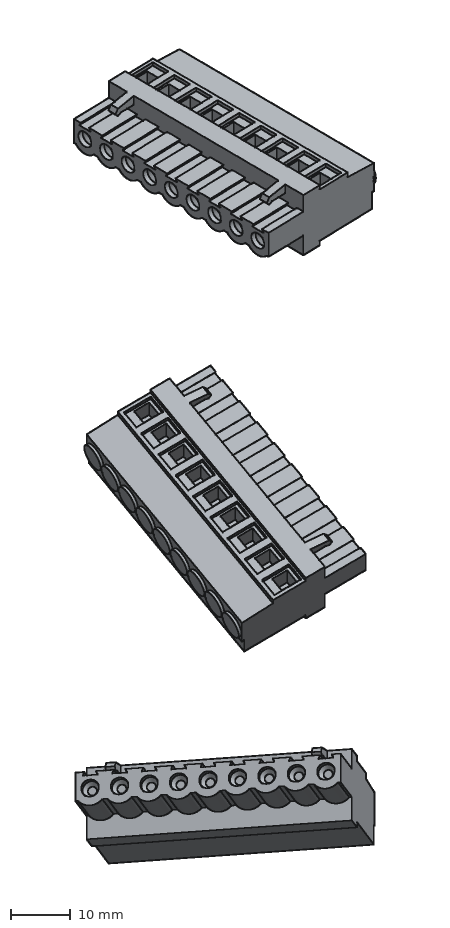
import cadquery as cq

length = 45.65
pole_count = 9
pitch = length / pole_count
pole_positions = [(i + 0.5) * pitch for i in range(pole_count)]

total_height = 12.6
flange_front_y = 8.35
flange_back_y = 12.3
flange_lip = 0.9
terrace_back_y = 18.95
slope_top_z = 10.7
slope_back_z = 10.27
back_y = 25.3
back_step_z = 4.4
lower_back_y = 24.85

plug_top_z = 9.15
plug_base_z = 4.1
barrel_bottom_z = 3.15
barrel_half_width = 2.1

keyway_depth = 0.65
keyway_top_width = 1.95
keyway_bottom_width = 2.55

contact_z = 6.2
contact_mouth_diameter = 3.0
contact_mouth_depth = 1.0
contact_seat_diameter = 1.55
contact_taper_length = 0.75

entry_width = 3.65
entry_front_y = 12.7
entry_back_y = 18.15
entry_depth = 0.75
well_width = 2.8
well_front_y = 13.35
well_back_y = 16.4
well_depth = 4.55

screw_diameter = 4.85
screw_z = 6.75
screw_back_y = 25.9

latch_width = 1.65
latch_root_z = 10.78
latch_shoulder_y = 4.5
latch_shoulder_z = 11.95
latch_tip_y = 3.93
latch_tip_z = 11.05
latch_hook_y = 4.47
latch_hook_z = 10.4
latch_hook_root_y = 5.25

terrace_z = total_height - flange_lip


def make_housing():
    """Stepped body extruded over the full length."""
    profile = [
        (flange_front_y, 0),
        (flange_back_y, 0),
        (flange_back_y, flange_lip),
        (lower_back_y, flange_lip),
        (lower_back_y, back_step_z),
        (back_y, back_step_z),
        (back_y, slope_back_z),
        (terrace_back_y, slope_top_z),
        (terrace_back_y, terrace_z),
        (flange_back_y, terrace_z),
        (flange_back_y, total_height),
        (flange_front_y, total_height),
    ]
    return cq.Workplane("YZ").polyline(profile).close().extrude(length)


def make_plug():
    """Front block with one rounded barrel under each pole and a dovetail keyway above it."""
    outline = cq.Workplane("XZ").moveTo(0, plug_top_z).lineTo(0, plug_base_z)
    for x in pole_positions:
        outline = outline.lineTo(x - barrel_half_width, plug_base_z)
        outline = outline.threePointArc((x, barrel_bottom_z), (x + barrel_half_width, plug_base_z))
    outline = outline.lineTo(length, plug_base_z).lineTo(length, plug_top_z)
    for x in reversed(pole_positions):
        outline = outline.lineTo(x + keyway_top_width / 2, plug_top_z)
        outline = outline.lineTo(x + keyway_bottom_width / 2, plug_top_z - keyway_depth)
        outline = outline.lineTo(x - keyway_bottom_width / 2, plug_top_z - keyway_depth)
        outline = outline.lineTo(x - keyway_top_width / 2, plug_top_z)
    return outline.close().extrude(-flange_back_y)


def make_contact_opening(x):
    """Round mouth in the plug face that leads into a tapered seat."""
    mouth_radius = contact_mouth_diameter / 2
    seat_radius = contact_seat_diameter / 2
    seat_end_y = contact_mouth_depth + contact_taper_length
    half_section = [
        (0, 0),
        (mouth_radius, 0),
        (mouth_radius, contact_mouth_depth),
        (seat_radius, seat_end_y),
        (0, seat_end_y),
    ]
    return (
        cq.Workplane("ZY", origin=(x, 0, contact_z))
        .polyline(half_section)
        .close()
        .revolve(360, (0, 0), (0, 1))
    )


def make_pocket(x, width, front_y, back_y, depth):
    """Rectangular pocket cut down from the terrace."""
    return (
        cq.Workplane("XY", origin=(x, (front_y + back_y) / 2, terrace_z))
        .rect(width, back_y - front_y)
        .extrude(-depth)
    )


def make_screw_head(x):
    """Round screw head standing out of the back face."""
    return (
        cq.Workplane("XZ", origin=(x, screw_back_y, screw_z))
        .circle(screw_diameter / 2)
        .extrude(screw_back_y - lower_back_y)
    )


def make_latch(x):
    """Hooked finger reaching forward from the flange."""
    profile = [
        (flange_front_y, total_height),
        (latch_shoulder_y, latch_shoulder_z),
        (latch_tip_y, latch_tip_z),
        (latch_hook_y, latch_hook_z),
        (latch_hook_root_y, latch_root_z),
        (flange_front_y, latch_root_z),
    ]
    return (
        cq.Workplane("YZ", origin=(x - latch_width / 2, 0, 0))
        .polyline(profile)
        .close()
        .extrude(latch_width)
    )


result = make_housing().union(make_plug())

for pole_x in pole_positions:
    result = result.union(make_screw_head(pole_x))
    result = result.cut(make_contact_opening(pole_x))
    result = result.cut(make_pocket(pole_x, entry_width, entry_front_y, entry_back_y, entry_depth))
    result = result.cut(make_pocket(pole_x, well_width, well_front_y, well_back_y, well_depth))

for latch_x in (pitch, length - pitch):
    result = result.union(make_latch(latch_x))